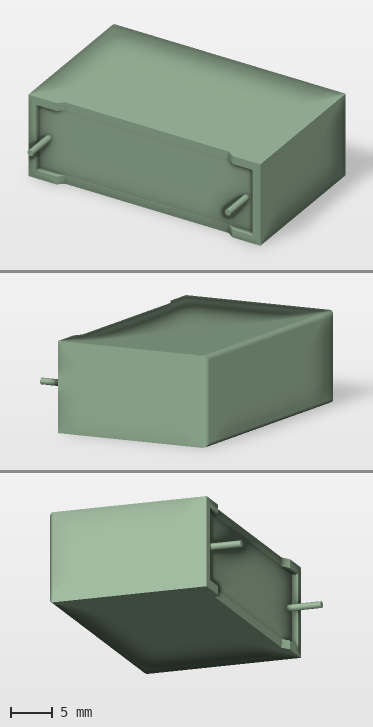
import cadquery as cq

total_length = 23.6
width = 32.3
height = 11.2
pin_projection = 3.52
depth = total_length - pin_projection
wall = 1.1
back_edge_radius = 0.58

relief_depth = 0.68
foot_length = 3.88
relief_ramp = 0.95

fill_setback = 0.75

pin_pitch = 27.5
pin_diameter = 0.8

cavity_width = width - 2 * wall
cavity_height = height - 2 * wall
cavity_depth = depth - wall


def block_from_front(size_x, size_z, front_y, back_y):
    """Box centred on X and Z that spans front_y to back_y."""
    return cq.Workplane("XY").box(size_x, back_y - front_y, size_z).translate((0, (front_y + back_y) / 2, 0))


def make_relief_cutter():
    """Trapezoid prism that lowers the middle of the front rim."""
    outer_x = width / 2 - foot_length
    inner_x = outer_x - relief_ramp
    return (
        cq.Workplane("XY")
        .polyline([(-outer_x, 0), (outer_x, 0), (inner_x, relief_depth), (-inner_x, relief_depth)])
        .close()
        .extrude(height / 2, both=True)
    )


def make_housing():
    """Rounded-back case with an open front cavity and a relieved rim."""
    case = block_from_front(width, height, 0, depth)
    case = case.faces(">Y").edges().fillet(back_edge_radius)
    cavity = block_from_front(cavity_width, cavity_height, 0, cavity_depth)
    return case.cut(cavity).cut(make_relief_cutter())


def make_filling():
    """Solid block filling the cavity behind the setback."""
    return block_from_front(cavity_width, cavity_height, fill_setback, cavity_depth)


def make_pin(x):
    """Round lead standing on the front face of the filling."""
    length = pin_projection + fill_setback
    return (
        cq.Workplane("XZ", origin=(x, fill_setback, 0))
        .circle(pin_diameter / 2)
        .extrude(length)
    )


housing = make_housing()
filling = make_filling()
pins = [make_pin(side * pin_pitch / 2) for side in (-1, 1)]

result = cq.Compound.makeCompound([housing.val(), filling.val(), *[pin.val() for pin in pins]])